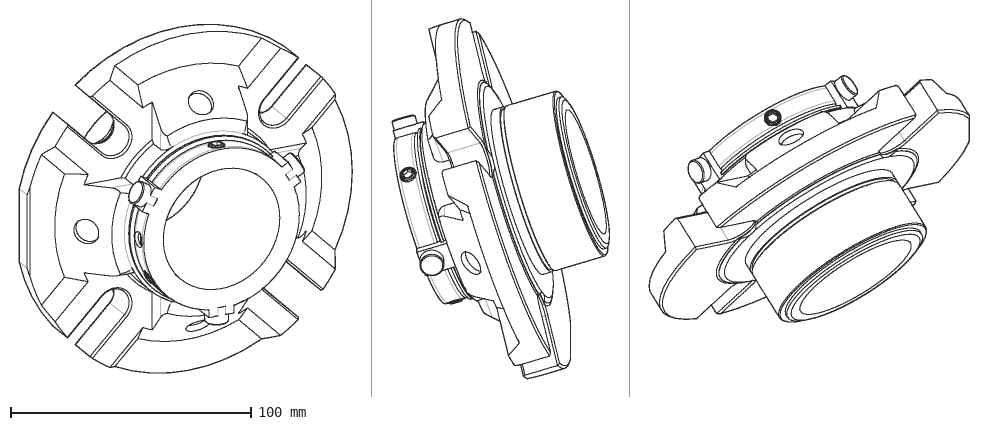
import cadquery as cq
import math

BORE_R = 54.0 / 2
SLEEVE_R = 57.0 / 2
BARREL_R = 71.8 / 2

NOSE_END = 2.0
RELIEF_START = 24.0
RELIEF_END = 25.7
PILOT_FACE = 29.7
FLANGE_BACK = 31.2
FLANGE_FRONT = 40.6
PAD_TOP = 47.3
GLAND_TOP = 59.2
NECK_END = 60.5
RING_END = 61.6
COLLAR_START = 63.3
COLLAR_END = 72.4

FLANGE_R = 76.0
FLAT_Y = -74.2
EDGE_CHAMFER = 0.9
SLOT_ANGLES = (45, 135, 225, 315)
SLOT_WIDTH = 14.6
SLOT_CENTER_R = 53.1
PAD_BASE_WIDTH = 48.1
PAD_TOP_WIDTH = 35.9

GLAND_R = 38.6
GLAND_FILLET = 1.2
LUG_WIDTH = 39.9
LUG_CORNER_R = 3.8
CONE_R = 55.2
LUG_TOP_DROP = 0.8
SHORT_LUG_TOP = 55.4
LUG_ANGLES = {"+Y": 0, "+Z": 90, "-Y": 180, "-Z": 270}

PORT_D = 11.0
PORT_DEPTH = 2.7
PORT_STATIONS = {"+Z": 52.87, "-Y": 50.5, "-Z": 50.5}

COLLAR_R = 72.4 / 2
COLLAR_CHAMFER = 1.3
COLLAR_BEVEL = 0.2
SCREW_X = 67.7
CLIP_WIDTH = 11.5
CLIP_INNER_R = 35.3
CLIP_OUTER_R = 39.1
BOLT_D = 10.0
BOLT_TOP_R = 43.4
CLIP_ANGLES = (30, 150, 270)

SCREW_POCKET_D = 7.0
SCREW_SEAT_R = 34.8
SET_SCREW_D = 6.0
SET_SCREW_TOP_R = 36.8
SCREW_BEVEL = 0.5
SOCKET_CORNERS_D = 4.4
SET_SCREW_ANGLES = (90, 210, 330)
PIN_D = 5.0
PIN_TOP_R = 35.1
PIN_SLOT_WIDTH = 0.8
PIN_ANGLE = 180


def revolve_x(points):
    """Turn a closed (x, radius) outline about the X axis."""
    return cq.Workplane("XY").polyline(points).close().revolve(360, (0, 0, 0), (1, 0, 0))


def turn(shape, angle):
    """Rotate about X; 0 degrees points to +Y and 90 degrees to +Z."""
    return shape.rotate((0, 0, 0), (1, 0, 0), angle)


def cone_radius(x):
    """Radius of the 45 degree gland cone at a station along the axis."""
    return CONE_R + PAD_TOP - x


def radial_cylinder(diameter, inner_r, outer_r, angle, bevel=0):
    """Cylinder on a radial axis through the screw station, with an optional bevelled top."""
    plane = cq.Plane(origin=(SCREW_X, inner_r, 0), xDir=(1, 0, 0), normal=(0, 1, 0))
    cylinder = cq.Workplane(plane).circle(diameter / 2).extrude(outer_r - inner_r)
    if bevel:
        cylinder = cylinder.faces(">Y").chamfer(bevel)
    return turn(cylinder, angle)


def turned_body():
    """Sleeve nose, barrel, pilot, gland body, retaining ring and collar."""
    nose_r, nose_face_r = 65.9 / 2, 62.5 / 2
    nose_bevel = 0.8
    relief_r, barrel_bevel = 35.0, 0.5
    pilot_face_r, pilot_r, pilot_foot_r = 92.0 / 2, 48.1, 49.07
    pilot_chamfer, pilot_foot = 0.9, 0.5
    neck_r, ring_r = 36.5, 37.3
    return revolve_x([
        (0, BORE_R),
        (0, nose_face_r),
        (nose_bevel, nose_r),
        (NOSE_END, nose_r),
        (NOSE_END, BARREL_R - barrel_bevel),
        (NOSE_END + barrel_bevel, BARREL_R),
        (RELIEF_START, BARREL_R),
        (RELIEF_START, relief_r),
        (RELIEF_END, relief_r),
        (RELIEF_END, BARREL_R),
        (PILOT_FACE, BARREL_R),
        (PILOT_FACE, pilot_face_r),
        (PILOT_FACE + pilot_chamfer, pilot_r),
        (FLANGE_BACK - pilot_foot, pilot_r),
        (FLANGE_BACK, pilot_foot_r),
        (PAD_TOP, pilot_foot_r),
        (PAD_TOP, GLAND_R + GLAND_FILLET),
        (PAD_TOP + GLAND_FILLET, GLAND_R),
        (GLAND_TOP, GLAND_R),
        (GLAND_TOP, neck_r),
        (NECK_END, neck_r),
        (NECK_END, ring_r),
        (RING_END, ring_r),
        (RING_END, SLEEVE_R),
        (COLLAR_START, SLEEVE_R),
        (COLLAR_START, COLLAR_R - COLLAR_BEVEL),
        (COLLAR_START + COLLAR_CHAMFER, COLLAR_R),
        (COLLAR_END - COLLAR_CHAMFER, COLLAR_R),
        (COLLAR_END, COLLAR_R - COLLAR_BEVEL),
        (COLLAR_END, BORE_R),
    ])


def flange_disc():
    """Thin flange with the conical root of the gland lugs on its front."""
    return revolve_x([
        (FLANGE_BACK, BORE_R),
        (FLANGE_BACK, FLANGE_R - EDGE_CHAMFER),
        (FLANGE_BACK + EDGE_CHAMFER, FLANGE_R),
        (FLANGE_FRONT, FLANGE_R),
        (FLANGE_FRONT, cone_radius(FLANGE_FRONT)),
        (PAD_TOP, CONE_R),
        (PAD_TOP, BORE_R),
    ])


def slot_pad(angle):
    """Raised pad with sloping sides that carries one bolt slot."""
    base, top = PAD_BASE_WIDTH / 2, PAD_TOP_WIDTH / 2
    ridge = (
        cq.Workplane("XZ")
        .polyline([(FLANGE_FRONT, -base), (PAD_TOP, -top), (PAD_TOP, top), (FLANGE_FRONT, base)])
        .close()
        .extrude(-FLANGE_R)
    )
    disc = cq.Workplane("YZ", origin=(FLANGE_FRONT, 0, 0)).circle(FLANGE_R)
    return turn(ridge, angle).intersect(disc.extrude(PAD_TOP - FLANGE_FRONT))


def slot_cut(angle):
    """Open bolt slot with a round inner end and chamfered mouths on both flange faces."""
    def outline(x, width):
        length = FLANGE_R
        middle = SLOT_CENTER_R + length / 2
        return (
            cq.Workplane("YZ", origin=(x, 0, 0))
            .center(middle, 0)
            .slot2D(length + width, width)
        )

    mouth_width = SLOT_WIDTH + 2 * EDGE_CHAMFER
    cut = outline(PILOT_FACE, SLOT_WIDTH).extrude(PAD_TOP - PILOT_FACE)
    back = outline(FLANGE_BACK, mouth_width).extrude(EDGE_CHAMFER, taper=45)
    front = outline(PAD_TOP, mouth_width).extrude(-EDGE_CHAMFER, taper=45)
    return turn(cut.union(back).union(front), angle)


def flat_cut():
    """Flat on the -Y rim with chamfers along both edges."""
    outside = -FLANGE_R
    return (
        cq.Workplane("XY", origin=(0, 0, -FLANGE_R))
        .polyline([
            (FLANGE_BACK, FLAT_Y + EDGE_CHAMFER),
            (FLANGE_BACK + EDGE_CHAMFER, FLAT_Y),
            (FLANGE_FRONT - EDGE_CHAMFER, FLAT_Y),
            (FLANGE_FRONT, FLAT_Y + EDGE_CHAMFER),
            (FLANGE_FRONT, outside),
            (FLANGE_BACK, outside),
        ])
        .close()
        .extrude(2 * FLANGE_R)
    )


def gland_lug(name):
    """Conical lug: a 45 degree cone trimmed to a block with rounded top corners."""
    top = SHORT_LUG_TOP if name == "+Y" else GLAND_TOP
    edge = top - LUG_TOP_DROP
    cone = revolve_x([
        (FLANGE_FRONT, BORE_R),
        (FLANGE_FRONT, cone_radius(FLANGE_FRONT)),
        (edge, cone_radius(edge)),
        (top, GLAND_R),
        (top, BORE_R),
    ])
    block = (
        cq.Workplane("XY")
        .box(top - PAD_TOP, FLANGE_R, LUG_WIDTH, centered=(False, False, True))
        .translate((PAD_TOP, 0, 0))
        .edges("|Y and >X").fillet(LUG_CORNER_R)
    )
    return turn(cone.intersect(block), LUG_ANGLES[name])


def port_cut(name):
    """Blind round port square to the conical face of a lug."""
    x = PORT_STATIONS[name]
    plane = cq.Plane(origin=(x, cone_radius(x), 0), xDir=(0, 0, 1), normal=(1, 1, 0))
    port = cq.Workplane(plane).circle(PORT_D / 2).extrude(PORT_DEPTH, both=True)
    return turn(port, LUG_ANGLES[name])


def setting_clip(angle):
    """Flat clip bridging gland and collar, with its round bolt head."""
    clip = (
        cq.Workplane("XY")
        .box(COLLAR_END - GLAND_TOP, CLIP_OUTER_R - CLIP_INNER_R, CLIP_WIDTH,
             centered=(False, False, True))
        .translate((GLAND_TOP, CLIP_INNER_R, 0))
    )
    head = radial_cylinder(BOLT_D, CLIP_INNER_R, BOLT_TOP_R, angle, SCREW_BEVEL)
    return turn(clip, angle).union(head)


def fit_set_screw(body, angle):
    """Hexagon socket set screw standing slightly proud in a round pocket."""
    pocket = radial_cylinder(SCREW_POCKET_D, SCREW_SEAT_R, BOLT_TOP_R, angle)
    screw = radial_cylinder(SET_SCREW_D, SCREW_SEAT_R, SET_SCREW_TOP_R, angle, SCREW_BEVEL)
    plane = cq.Plane(origin=(SCREW_X, SCREW_SEAT_R, 0), xDir=(0, 0, 1), normal=(0, 1, 0))
    socket = cq.Workplane(plane).polygon(6, SOCKET_CORNERS_D).extrude(BOLT_TOP_R - SCREW_SEAT_R)
    return body.cut(pocket).union(screw.cut(turn(socket, angle)))


def fit_slotted_pin(body):
    """Slotted pin sunk in a countersink of the collar."""
    plane = cq.Plane(origin=(SCREW_X, COLLAR_R, 0), xDir=(1, 0, 0), normal=(0, -1, 0))
    sink = cq.Workplane(plane).circle(SCREW_POCKET_D / 2).extrude(COLLAR_R - PIN_TOP_R, taper=45)
    slot = cq.Workplane("XY").box(PIN_SLOT_WIDTH, PIN_SLOT_WIDTH, PIN_D)
    slot = slot.translate((SCREW_X, PIN_TOP_R, 0))
    return body.cut(turn(sink, PIN_ANGLE)).cut(turn(slot, PIN_ANGLE))


result = turned_body().union(flange_disc())
for slot_angle in SLOT_ANGLES:
    result = result.union(slot_pad(slot_angle))
for lug_name in LUG_ANGLES:
    result = result.union(gland_lug(lug_name))

bore = cq.Workplane("YZ").circle(BORE_R).extrude(COLLAR_END)
result = result.cut(bore).cut(flat_cut())
for slot_angle in SLOT_ANGLES:
    result = result.cut(slot_cut(slot_angle))
for port_name in PORT_STATIONS:
    result = result.cut(port_cut(port_name))

for clip_angle in CLIP_ANGLES:
    result = result.union(setting_clip(clip_angle))
for screw_angle in SET_SCREW_ANGLES:
    result = fit_set_screw(result, screw_angle)
result = fit_slotted_pin(result)